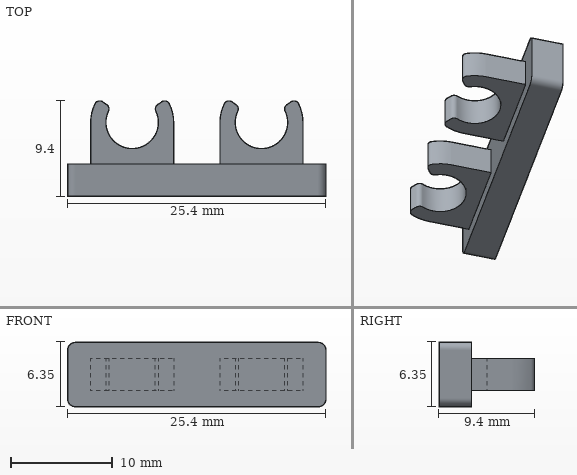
import cadquery as cq
import math

base_length = 25.4
base_depth = 3.2
base_height = 6.35
base_corner_radius = 0.8

clip_pitch = base_length / 2
clip_height = base_height / 2
clip_outer_radius = 4.1
bore_radius = 2.57
bore_center_y = base_depth + 4.06
mouth_edge_angle = 35.0
tip_radius = 0.5


def polar(radius, angle):
    """Point at an angle in degrees around the bore centre."""
    turn = math.radians(angle)
    return (radius * math.cos(turn), radius * math.sin(turn))


def make_base():
    bar = cq.Workplane("XY").box(base_length, base_depth, base_height, centered=(True, False, True))
    return bar.edges("|Y").fillet(base_corner_radius)


def make_clip():
    """One C-shaped clip, with rounded tips where the radial mouth edges end the arms."""
    foot_y = base_depth - bore_center_y
    right_outer_tip = polar(clip_outer_radius, mouth_edge_angle)
    right_inner_tip = polar(bore_radius, mouth_edge_angle)
    left_outer_tip = polar(clip_outer_radius, 180 - mouth_edge_angle)
    left_inner_tip = polar(bore_radius, 180 - mouth_edge_angle)
    clip = (
        cq.Workplane("XY")
        .moveTo(-clip_outer_radius, foot_y)
        .lineTo(clip_outer_radius, foot_y)
        .lineTo(clip_outer_radius, 0)
        .threePointArc(polar(clip_outer_radius, mouth_edge_angle / 2), right_outer_tip)
        .lineTo(*right_inner_tip)
        .threePointArc((0, -bore_radius), left_inner_tip)
        .lineTo(*left_outer_tip)
        .threePointArc(polar(clip_outer_radius, 180 - mouth_edge_angle / 2), (-clip_outer_radius, 0))
        .close()
        .extrude(clip_height / 2, both=True)
    )
    tip_zone = cq.selectors.BoxSelector(
        (-clip_outer_radius, bore_radius / 2, -clip_height),
        (clip_outer_radius, clip_outer_radius, clip_height),
    )
    return clip.edges("|Z").edges(tip_zone).fillet(tip_radius)


result = make_base()
for side in (-1, 1):
    result = result.union(make_clip().translate((side * clip_pitch / 2, bore_center_y, 0)))